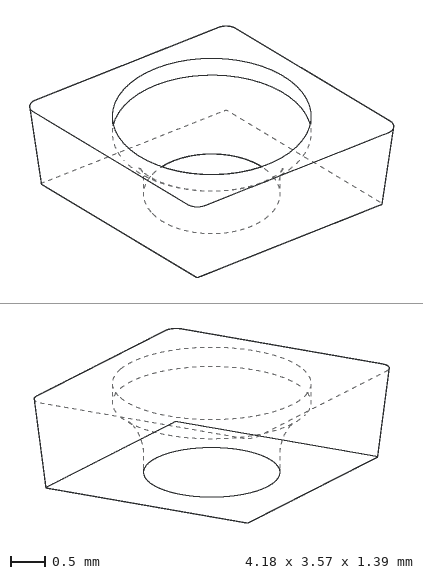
import cadquery as cq
import math

length = 4.18
thickness = 1.39
corner_angle = 80.0
corner_radius = 0.195
clearance_angle = 7.0

seat_radius = 1.45
bore_radius = 0.995
seat_depth = 0.3
bore_start_depth = 1.115

slant = math.radians(corner_angle)
centre_span = length - 2 * corner_radius
centre_side = centre_span / (1 + math.cos(slant))
width = centre_side * math.sin(slant) + 2 * corner_radius
side = width / math.sin(slant)


def make_body():
    """Rounded rhombus, largest at the top and tapering inward to the bottom."""
    half_lean = width / math.tan(slant) / 2
    corners = [
        (-side / 2 - half_lean, -width / 2),
        (side / 2 - half_lean, -width / 2),
        (side / 2 + half_lean, width / 2),
        (-side / 2 + half_lean, width / 2),
    ]
    outline = cq.Sketch().polygon(corners + corners[:1]).vertices().fillet(corner_radius)
    return (
        cq.Workplane("XY")
        .workplane(offset=thickness)
        .placeSketch(outline)
        .extrude(-thickness, taper=clearance_angle)
    )


def make_screw_hole():
    """Straight seat, convex curved throat tangent to the bore, then the bore."""
    seat_z = thickness - seat_depth
    bore_z = thickness - bore_start_depth
    step = seat_radius - bore_radius
    rise = seat_z - bore_z
    throat_radius = (step**2 + rise**2) / (2 * step)
    mid_angle = math.asin(rise / throat_radius) / 2
    throat_middle = (
        bore_radius + throat_radius * (1 - math.cos(mid_angle)),
        bore_z + throat_radius * math.sin(mid_angle),
    )
    return (
        cq.Workplane("XZ")
        .moveTo(0, 0)
        .lineTo(bore_radius, 0)
        .lineTo(bore_radius, bore_z)
        .threePointArc(throat_middle, (seat_radius, seat_z))
        .lineTo(seat_radius, thickness)
        .lineTo(0, thickness)
        .close()
        .revolve(360, (0, 0, 0), (0, 1, 0))
    )


result = make_body().cut(make_screw_hole())